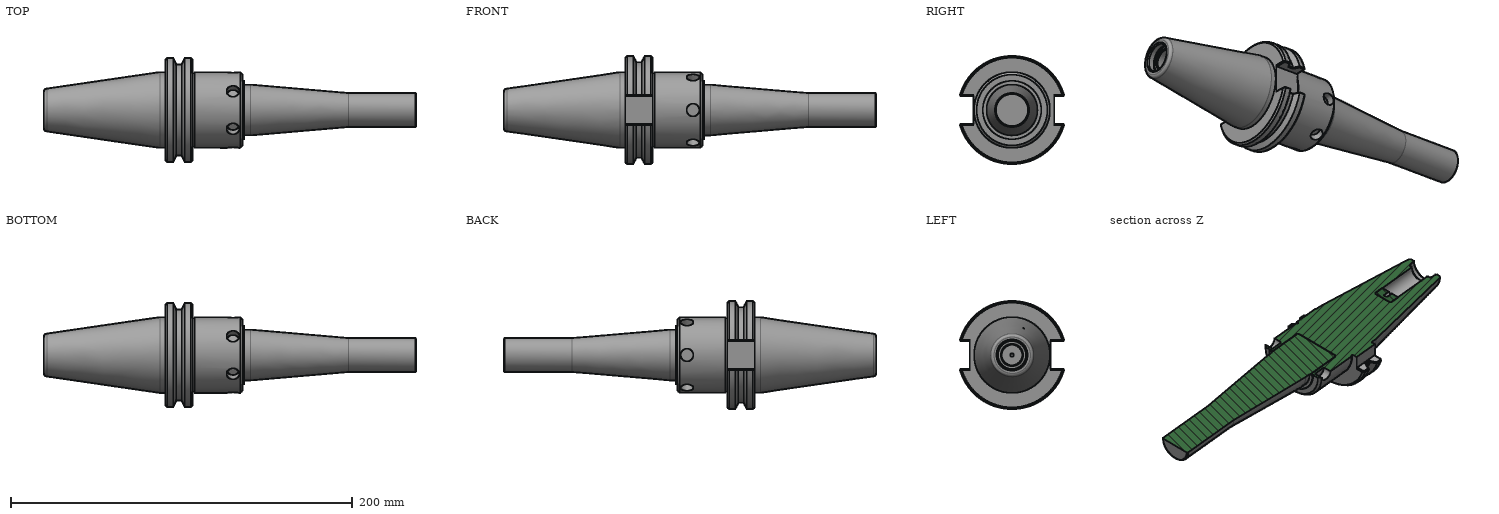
import cadquery as cq

overall_length = 218.2

taper_ratio = 7 / 24
shank_dia = 44.5
taper_length = 67.9
taper_end_round = 2.0

flange_start = 71.1
flange_end = 87.3
flange_dia = 63.5
flange_chamfer = 1.0
groove_centre = 79.2
groove_mouth_width = 6.8
groove_floor_width = 3.0
groove_floor_dia = 56.3

slot_width = 16.4
slot_floor_front = 22.7
slot_floor_back = 24.9
slot_chamfer = 0.7

neck_end = 88.5
neck_dia = 43.2
nose_end = 116.5
nose_chamfer = 1.5

radial_hole_count = 6
radial_hole_dia = 7.5
radial_hole_x = 110.9
radial_hole_depth = 5.2

mouth_dia = 18.3
counterbore_dia = 16.8
counterbore_step_depth = 4.1
counterbore_floor_dia = 16.4
counterbore_depth = 4.8
thread_mouth_dia = 13.0
bore_dia = 12.0
bore_end = 30.5

plug_length = 6.5
plug_hole_dia = 2.0
plug_hole_depth = 4.4

collar_dia = 34.3
collar_length = 0.9

extension_root_dia = 30.0
extension_tip_dia = 20.0
extension_socket_depth = 21.8
extension_cone_start = 121.1
extension_cone_end = 178.3
extension_tip_chamfer = 0.7


def turned(points):
    """Solid of revolution about the X axis from (x, radius) points."""
    return cq.Workplane("XY").polyline(points).close().revolve(360, (0, 0, 0), (1, 0, 0))


def rod(start, length, diameter):
    """Cylinder along the X axis."""
    return cq.Workplane("YZ").workplane(offset=start).circle(diameter / 2).extrude(length)


def holder_blank():
    shank_radius = shank_dia / 2
    small_end_radius = shank_radius - taper_length * taper_ratio / 2
    flange_radius = flange_dia / 2
    groove_radius = groove_floor_dia / 2
    neck_radius = neck_dia / 2
    blank = turned([
        (0, 0),
        (0, small_end_radius),
        (taper_length, shank_radius),
        (flange_start, shank_radius),
        (flange_start, flange_radius - flange_chamfer),
        (flange_start + flange_chamfer, flange_radius),
        (groove_centre - groove_mouth_width / 2, flange_radius),
        (groove_centre - groove_floor_width / 2, groove_radius),
        (groove_centre + groove_floor_width / 2, groove_radius),
        (groove_centre + groove_mouth_width / 2, flange_radius),
        (flange_end - flange_chamfer, flange_radius),
        (flange_end, flange_radius - flange_chamfer),
        (flange_end, neck_radius),
        (neck_end, neck_radius),
        (neck_end, shank_radius),
        (nose_end - nose_chamfer, shank_radius),
        (nose_end, shank_radius - nose_chamfer),
        (nose_end, 0),
    ])
    return blank.faces("<X").edges().fillet(taper_end_round)


def drive_slot(side, floor):
    """Block that cuts one slot; side is +1 or -1 along Y, floor its distance from the axis."""
    depth = flange_dia / 2 - floor
    return cq.Workplane("XY").box(flange_end - flange_start, depth, slot_width).translate(
        ((flange_start + flange_end) / 2, side * (floor + depth / 2), 0)
    )


def chamfer_slots(holder):
    """Break the outer edges of the slot walls, leaving the corners along the slot floors sharp."""
    tolerance = 0.002
    flange_width = flange_end - flange_start
    wall_edges = []
    for edge in holder.edges().vals():
        box = edge.BoundingBox()
        on_wall = box.zlen < tolerance and abs(abs(box.center.z) - slot_width / 2) < tolerance
        along_floor = abs(box.xlen - flange_width) < tolerance
        if on_wall and not along_floor:
            wall_edges.append(edge)
    return holder.newObject(wall_edges).chamfer(slot_chamfer)


def radial_hole(angle):
    """Flat-bottomed hole, at an angle about X measured from +Y."""
    hole = (
        cq.Workplane("XZ", origin=(radial_hole_x, shank_dia / 2, 0))
        .circle(radial_hole_dia / 2)
        .extrude(radial_hole_depth)
    )
    return hole.rotate((0, 0, 0), (1, 0, 0), angle)


def end_bore():
    mouth_chamfer = (mouth_dia - counterbore_dia) / 2
    thread_chamfer = (thread_mouth_dia - bore_dia) / 2
    return turned([
        (0, 0),
        (0, mouth_dia / 2),
        (mouth_chamfer, counterbore_dia / 2),
        (counterbore_step_depth, counterbore_dia / 2),
        (counterbore_step_depth, counterbore_floor_dia / 2),
        (counterbore_depth, counterbore_floor_dia / 2),
        (counterbore_depth, thread_mouth_dia / 2),
        (counterbore_depth + thread_chamfer, bore_dia / 2),
        (bore_end + plug_length, bore_dia / 2),
        (bore_end + plug_length, 0),
    ])


def make_holder():
    holder = holder_blank()
    holder = holder.cut(drive_slot(-1, slot_floor_front))
    holder = holder.cut(drive_slot(1, slot_floor_back))
    holder = chamfer_slots(holder)
    for i in range(radial_hole_count):
        holder = holder.cut(radial_hole(i * 360 / radial_hole_count))
    holder = holder.cut(end_bore())
    return holder.cut(rod(nose_end - extension_socket_depth, extension_socket_depth, extension_root_dia))


def make_plug():
    return rod(bore_end, plug_length, bore_dia).cut(rod(bore_end, plug_hole_depth, plug_hole_dia))


def make_collar():
    return rod(nose_end, collar_length, collar_dia).cut(rod(nose_end, collar_length, extension_root_dia))


def make_extension():
    root_radius = extension_root_dia / 2
    tip_radius = extension_tip_dia / 2
    return turned([
        (nose_end - extension_socket_depth, 0),
        (nose_end - extension_socket_depth, root_radius),
        (extension_cone_start, root_radius),
        (extension_cone_end, tip_radius),
        (overall_length - extension_tip_chamfer, tip_radius),
        (overall_length, tip_radius - extension_tip_chamfer),
        (overall_length, 0),
    ])


holder = make_holder()
plug = make_plug()
collar = make_collar()
extension = make_extension()

result = cq.Compound.makeCompound([holder.val(), plug.val(), collar.val(), extension.val()])